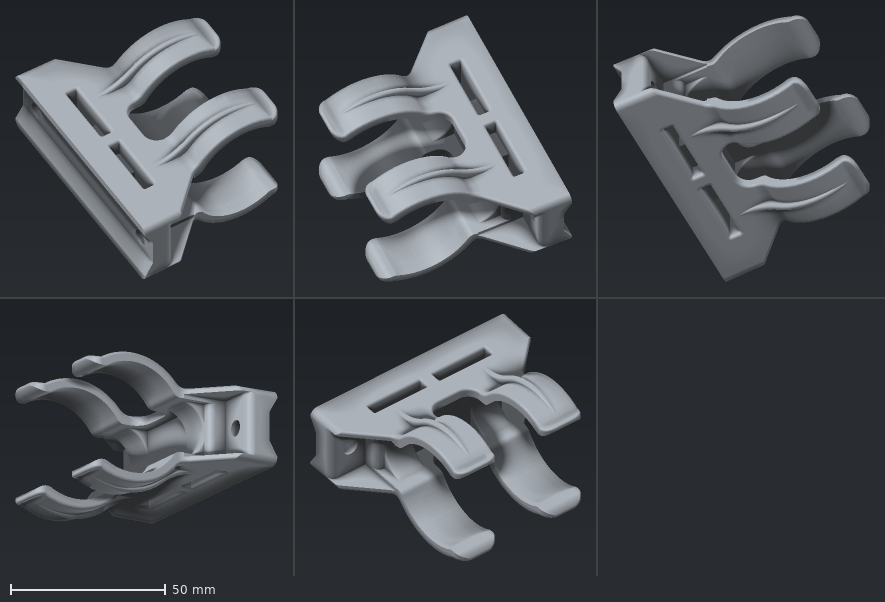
import cadquery as cq
import math

LENGTH = 80.0
BODY_HEIGHT = 25.2
BODY_CORNER_RADIUS = 2.7
PLATE_THICKNESS = 2.0
DRAFT_ANGLE = 1.0
DRAFT = math.tan(math.radians(DRAFT_ANGLE))
FAR = 160.0

GROOVE_DEPTH = 3.0
GROOVE_MOUTH_HEIGHT = 19.8
GROOVE_FLOOR_HEIGHT = 9.8

SLAB_BACK = 11.0
SLAB_CORNER_RADIUS = 3.0
WEB_BACK = 17.6
WEB_HEIGHT = 18.4
WEB_HALF_LENGTH = 26.0
WEB_CORNER_RADIUS = 2.6
RECESS_BACK = 27.2

SCREW_SPACING = 64.0
SCREW_DIAMETER = 5.6

SHOULDER_SUM = 53.2
SHOULDER_RADIUS = 3.8
NECK_RADIUS = 4.7
NOTCH_BOTTOM = 21.7
NOTCH_RADIUS = 4.8
ARM_CENTER = 17.5
ARM_ROOT_HALF_WIDTH = 9.0
ARM_TIP = 61.5
TIP_FLAT_HALF_WIDTH = 3.0
EDGE_RADIUS = 1.0

CLIP_CENTER = 46.4
CLIP_INNER_RADIUS = 18.8
CLIP_OUTER_RADIUS = 22.1
INNER_BEND_START = 28.4
OUTER_BEND_START = 25.6
HOOK_ANGLE = math.radians(31)
LIP_RADIUS = 1.0
LIP_Z = 18.7
HOOK_EDGE_RADIUS = 0.8
LIP_LOWER_ANGLE = math.radians(-40)
LIP_CORNER_Z = 20.6
HOOK_LOWER_MIDDLE = (58.9, 16.2)
HOOK_UPPER_MIDDLE = (58.9, 19.0)

RIB_RADIUS = 1.1
RIB_CENTER = 44.6
RIB_OUTER_RADIUS = 23.0
RIB_START = 15.4
RIB_END_ANGLE = math.radians(33)

GUSSET_WIDTH = 11.2
GUSSET_CENTER = 27.0
GUSSET_ARC_RADIUS = 9.4
GUSSET_EDGE_RADIUS = 0.7

SLOT_CENTER_X = 13.2
SLOT_CENTER_Y = 11.4
SLOT_LENGTH = 21.4
SLOT_WIDTH = 3.8
SLOT_LIP_RADIUS = 1.2
SLOT_CORNER_RADIUS = 0.4
SLOT_BLIND_DEPTH = 6.2
SLOT_THROUGH_START = 11.9

half_length = LENGTH / 2
half_height = BODY_HEIGHT / 2
half_web = WEB_HEIGHT / 2
rib_foot = (RIB_START, half_height - RIB_RADIUS)
SIDES = (-1, 1)


def bend_radius(start, plane_z, ring_radius):
    """Radius of the arc tangent to the plane z = plane_z at y = start and to the clip ring."""
    run = CLIP_CENTER - start
    return (run**2 + plane_z**2 - ring_radius**2) / (2 * (ring_radius - plane_z))


def bend_points(start, plane_z, ring_radius):
    """Middle and end points of that tangent arc."""
    radius = bend_radius(start, plane_z, ring_radius)
    center_z = plane_z + radius
    end_angle = math.atan2(-center_z, CLIP_CENTER - start)
    middle_angle = (end_angle - math.pi / 2) / 2
    return [
        (start + radius * math.cos(a), center_z + radius * math.sin(a))
        for a in (middle_angle, end_angle)
    ]


def polar(center, radius, angle):
    """Point at an angle measured from +Z toward +Y around (center, 0)."""
    return (center + radius * math.sin(angle), radius * math.cos(angle))


def lip_point(angle):
    """Point on the round end of the hook, the angle measured from +Y toward +Z."""
    return (
        ARM_TIP - LIP_RADIUS + LIP_RADIUS * math.cos(angle),
        LIP_Z + LIP_RADIUS * math.sin(angle),
    )


hook_outer = polar(CLIP_CENTER, CLIP_OUTER_RADIUS, HOOK_ANGLE)
hook_inner = polar(CLIP_CENTER, CLIP_INNER_RADIUS, HOOK_ANGLE)


def extrude_along_x(profile):
    return profile.extrude(half_length, both=True)


def side_profile():
    """Body and arms as one Y-Z section, symmetric about z = 0, ending where the hooks begin."""
    inner_middle, inner_end = bend_points(INNER_BEND_START, half_web, CLIP_INNER_RADIUS)
    outer_middle, outer_end = bend_points(OUTER_BEND_START, half_height, CLIP_OUTER_RADIUS)
    profile = (
        cq.Workplane("YZ")
        .moveTo(GROOVE_DEPTH, 0)
        .lineTo(GROOVE_DEPTH, GROOVE_FLOOR_HEIGHT / 2)
        .lineTo(0, GROOVE_MOUTH_HEIGHT / 2)
        .lineTo(0, half_height)
        .lineTo(OUTER_BEND_START, half_height)
        .threePointArc(outer_middle, outer_end)
        .threePointArc(polar(CLIP_CENTER, CLIP_OUTER_RADIUS, 0), hook_outer)
        .lineTo(*hook_inner)
        .threePointArc(polar(CLIP_CENTER, CLIP_INNER_RADIUS, 0), inner_end)
        .threePointArc(inner_middle, (INNER_BEND_START, half_web))
        .lineTo(WEB_BACK, half_web)
        .lineTo(WEB_BACK, 0)
        .mirrorX()
    )
    return extrude_along_x(profile)


def hook_profile():
    """Y-Z section of the hooked lip at the end of an upper arm, its outer edge still sharp."""
    profile = (
        cq.Workplane("YZ")
        .moveTo(*hook_outer)
        .threePointArc(HOOK_UPPER_MIDDLE, (ARM_TIP, LIP_CORNER_Z))
        .lineTo(*lip_point(0))
        .threePointArc(lip_point(LIP_LOWER_ANGLE / 2), lip_point(LIP_LOWER_ANGLE))
        .threePointArc(HOOK_LOWER_MIDDLE, hook_inner)
        .close()
    )
    return extrude_along_x(profile)


def plan_outline():
    """Outline seen along Z: drafted body, 45 degree shoulders and two square-ended arms."""
    arm_outer = ARM_CENTER + ARM_ROOT_HALF_WIDTH
    arm_inner = ARM_CENTER - ARM_ROOT_HALF_WIDTH
    shoulder_y = (SHOULDER_SUM - half_length) / (1 - DRAFT)
    neck_y = (SHOULDER_SUM - arm_outer) / (1 - DRAFT)
    shoulder = (SHOULDER_SUM - shoulder_y, shoulder_y)
    neck = (SHOULDER_SUM - neck_y, neck_y)
    tip_outer = (arm_outer - DRAFT * ARM_TIP, ARM_TIP)
    tip_inner = (arm_inner + DRAFT * ARM_TIP, ARM_TIP)
    notch = (arm_inner + DRAFT * NOTCH_BOTTOM, NOTCH_BOTTOM)

    right_half = [(half_length, 0), shoulder, neck, tip_outer, tip_inner, notch]
    left_half = [(-x, y) for x, y in reversed(right_half)]
    outline = cq.Workplane("XY").polyline(right_half + left_half).close().extrude(FAR / 2, both=True)

    for (x, y), radius in ((shoulder, SHOULDER_RADIUS), (neck, NECK_RADIUS), (notch, NOTCH_RADIUS)):
        for side in SIDES:
            corner = cq.selectors.NearestToPointSelector((side * x, y, 0))
            outline = outline.edges("|Z").edges(corner).fillet(radius)
    return outline


def hook_outline(center):
    """Outline of one hook seen along Z, its two end corners elliptical."""
    root = hook_inner[0]
    half_width = ARM_ROOT_HALF_WIDTH - DRAFT * hook_outer[0]
    length = ARM_TIP - hook_outer[0]
    flat = cq.Workplane("XY").center(center, ARM_TIP - length)
    outline = flat.rect(2 * TIP_FLAT_HALF_WIDTH, 2 * length).extrude(FAR / 2, both=True)
    for end in SIDES:
        corner = flat.center(end * TIP_FLAT_HALF_WIDTH, 0)
        corner = corner.ellipse(half_width - TIP_FLAT_HALF_WIDTH, length).extrude(FAR / 2, both=True)
        outline = outline.union(corner)
    neck_length = hook_outer[0] - root
    neck = cq.Workplane("XY").center(center, root + neck_length / 2)
    neck = neck.rect(2 * half_width, neck_length).extrude(FAR / 2, both=True)
    return outline.union(neck)


def outer_rim(shell):
    """Edges around the outer skin of plate and arms, from the body sides up to the hooks."""
    rim = []
    for edge in shell.edges("not |Z").vals():
        middle = edge.positionAt(0.5)
        from_clip = math.hypot(middle.y - CLIP_CENTER, middle.z)
        on_plate = abs(abs(middle.z) - half_height) < 0.01 and middle.y > 0.1
        on_arm = middle.y > OUTER_BEND_START and from_clip > CLIP_OUTER_RADIUS - 0.01
        across = edge.geomType() == "LINE" and abs(edge.tangentAt(0.5).x) > 0.99
        on_notch = abs(middle.y - NOTCH_BOTTOM) < 0.01
        if (on_plate or on_arm) and (on_notch or not across):
            rim.append(edge)
    return rim


def block(x_range, y_range, z_range):
    """Axis-aligned box between pairs of coordinates."""
    (x0, x1), (y0, y1), (z0, z1) = x_range, y_range, z_range
    return cq.Workplane("XY").box(x1 - x0, y1 - y0, z1 - z0, centered=False).translate((x0, y0, z0))


def rounded_body_corner(side, end):
    """Waste outside the round corner along one long edge of the body side."""
    center_x = side * (half_length - BODY_CORNER_RADIUS)
    center_z = end * (half_height - BODY_CORNER_RADIUS)
    depth = (SHOULDER_SUM - abs(center_x)) / (1 - DRAFT)
    x_range = sorted((center_x, side * (half_length + 0.8)))
    z_range = sorted((center_z, end * (half_height + 0.8)))
    core = cq.Workplane("XZ", origin=(center_x, 0, center_z)).circle(BODY_CORNER_RADIUS).extrude(-depth)
    waste = block(x_range, (0, depth), z_range).cut(core)
    pivot = side * half_length
    return waste.rotate((pivot, 0, 0), (pivot, 0, 1), side * DRAFT_ANGLE)


def side_recess(side):
    """Space between the plates beside the web, behind the front slab."""
    start = SLAB_BACK - SLAB_CORNER_RADIUS
    slab_end = half_length - DRAFT * start
    inner_z = half_height - PLATE_THICKNESS
    z_range = (-inner_z, inner_z)
    slab = block((-slab_end, slab_end), (0, SLAB_BACK), z_range)
    slab = slab.edges("|Z and >Y").fillet(SLAB_CORNER_RADIUS)
    x_range = sorted((side * WEB_HALF_LENGTH, side * half_length))
    return block(x_range, (start, RECESS_BACK), z_range).cut(slab)


def web_corner(side):
    """Waste outside the round vertical corner at the back of the web."""
    center_x = side * (WEB_HALF_LENGTH - WEB_CORNER_RADIUS)
    center_y = WEB_BACK - WEB_CORNER_RADIUS
    x_range = sorted((center_x, side * half_length))
    core = cq.Workplane("XY").center(center_x, center_y).circle(WEB_CORNER_RADIUS).extrude(half_web, both=True)
    return block(x_range, (center_y, WEB_BACK), (-half_web, half_web)).cut(core)


def hook(center):
    """Hooked lip of one upper arm with a rounded outer rim."""
    lip = hook_profile().intersect(hook_outline(center))
    rim = []
    for edge in lip.edges().vals():
        middle = edge.positionAt(0.5)
        at_root = middle.y < hook_outer[0] + 0.1
        across = edge.geomType() == "LINE" and middle.y < ARM_TIP - 0.01
        if middle.z > LIP_Z and not at_root and not across:
            rim.append(edge)
    return lip.newObject(rim).fillet(HOOK_EDGE_RADIUS)


def rib_axis(center):
    """Axis of the round top of a rib: an arc out of the plate, then an arc over the arm."""
    run = RIB_CENTER - RIB_START
    foot_radius = (run**2 + half_height**2 - RIB_OUTER_RADIUS**2) / (2 * (RIB_OUTER_RADIUS - half_height))
    foot_center_z = half_height + foot_radius
    foot_turn = math.atan2(foot_center_z, run)
    axis_foot_radius = foot_radius + RIB_RADIUS
    axis_ring_radius = RIB_OUTER_RADIUS - RIB_RADIUS

    def foot_point(angle):
        return (
            RIB_START + axis_foot_radius * math.cos(angle),
            foot_center_z - axis_foot_radius * math.sin(angle),
        )

    return (
        cq.Workplane("YZ", origin=(center, 0, 0))
        .moveTo(*rib_foot)
        .threePointArc(foot_point((foot_turn + math.pi / 2) / 2), foot_point(foot_turn))
        .threePointArc(
            polar(RIB_CENTER, axis_ring_radius, 0),
            polar(RIB_CENTER, axis_ring_radius, RIB_END_ANGLE),
        )
    )


def rib(center):
    """Rib along the outside of an upper arm, round on top and fading into the plate."""
    top = cq.Workplane("XZ", origin=(center, *rib_foot)).circle(RIB_RADIUS)
    top = top.sweep(rib_axis(center))

    arm_middle = (CLIP_INNER_RADIUS + CLIP_OUTER_RADIUS) / 2
    inner_end = bend_points(INNER_BEND_START, half_web, CLIP_INNER_RADIUS)[1]
    root_angle = math.atan2(inner_end[0] - CLIP_CENTER, inner_end[1])
    flank = (
        rib_axis(center)
        .lineTo(*polar(CLIP_CENTER, arm_middle, HOOK_ANGLE))
        .threePointArc(polar(CLIP_CENTER, arm_middle, 0), polar(CLIP_CENTER, arm_middle, root_angle))
        .lineTo(OUTER_BEND_START, (half_web + half_height) / 2)
        .close()
        .extrude(RIB_RADIUS, both=True)
    )
    return top.union(flank)


def gusset(center):
    """Filling between the roots of the upper and lower arm, hollowed by a round arc."""
    filling = block(
        (center - GUSSET_WIDTH / 2, center + GUSSET_WIDTH / 2),
        (WEB_BACK - WEB_CORNER_RADIUS, GUSSET_CENTER),
        (-half_web, half_web),
    )
    hollow = cq.Workplane("YZ", origin=(center - GUSSET_WIDTH / 2, GUSSET_CENTER, 0))
    filling = filling.cut(hollow.circle(GUSSET_ARC_RADIUS).extrude(GUSSET_WIDTH))
    return filling.edges("%CIRCLE").fillet(GUSSET_EDGE_RADIUS)


def cut_strap_slots(part, side):
    """Deep slot with a rounded lip in each plate, joined into one opening at the outer end."""
    x_inner = SLOT_CENTER_X - SLOT_LENGTH / 2
    x_outer = SLOT_CENTER_X + SLOT_LENGTH / 2
    y_range = (SLOT_CENTER_Y - SLOT_WIDTH / 2, SLOT_CENTER_Y + SLOT_WIDTH / 2)
    slot_x = sorted((side * x_inner, side * x_outer))
    through_x = sorted((side * SLOT_THROUGH_START, side * x_outer))
    through = block(through_x, y_range, (-half_height, half_height))
    part = part.cut(through.edges("|Z").fillet(SLOT_CORNER_RADIUS))
    for end in SIDES:
        z_range = sorted((end * half_height, end * (half_height - SLOT_BLIND_DEPTH)))
        pocket = block(slot_x, y_range, z_range)
        part = part.cut(pocket.edges("|Z").fillet(SLOT_CORNER_RADIUS))
        rim = cq.selectors.BoxSelector(
            (slot_x[0] - 0.1, y_range[0] - 0.1, end * half_height - 0.1),
            (slot_x[1] + 0.1, y_range[1] + 0.1, end * half_height + 0.1),
        )
        part = part.edges(rim).fillet(SLOT_LIP_RADIUS)
    return part


def screw_hole(side):
    hole = cq.Workplane("XZ").center(side * SCREW_SPACING / 2, 0)
    return hole.circle(SCREW_DIAMETER / 2).extrude(-SLAB_BACK)


result = side_profile().intersect(plan_outline())
result = result.newObject(outer_rim(result)).fillet(EDGE_RADIUS)
for side in SIDES:
    result = cut_strap_slots(result, side)
    for end in SIDES:
        result = result.cut(rounded_body_corner(side, end))
    result = result.cut(side_recess(side)).cut(web_corner(side)).cut(screw_hole(side))

for side in SIDES:
    arm_center = side * ARM_CENTER
    result = result.union(gusset(arm_center))
    for detail in (hook(arm_center), rib(arm_center)):
        result = result.union(detail).union(detail.mirror("XY"))